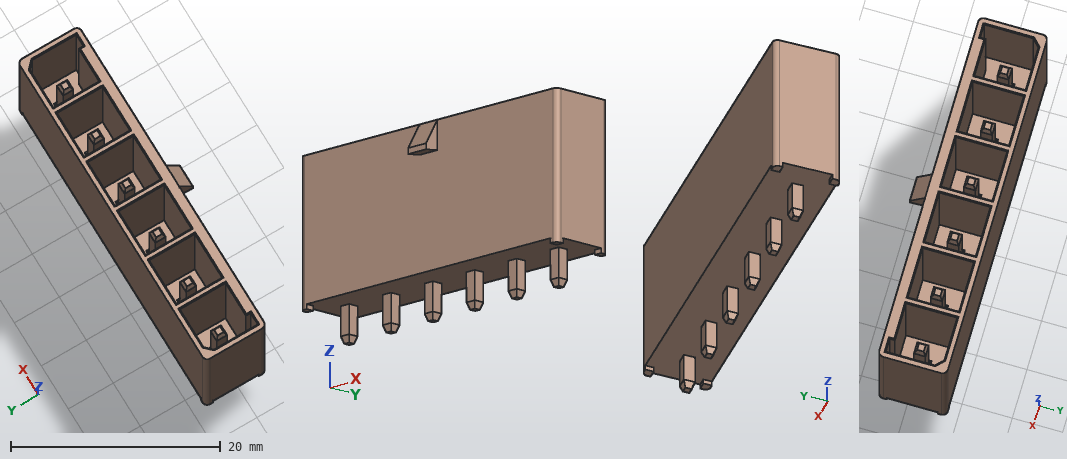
import cadquery as cq

length = 34.85
depth = 6.83
height = 15.25
corner_radius = 0.52

foot_size = 0.87
foot_height = 0.5

contact_count = 6
row_length = 28.5
pitch = row_length / (contact_count - 1)
cavity_depth = 11.85
partition = 0.63
end_wall = 0.6
back_wall = 0.6
front_wall = 1.15
rim_chamfer = 0.1

end_chamfer = 0.73
key_front_wall = 0.63
key_length = 1.32

pin_width = 1.15
tip_width = 0.65
tip_length = 0.73
pin_top = -4.88
pin_bottom = -18.5

countersink_width = 1.57
countersink_depth = (countersink_width - pin_width) / 2

latch_width = 2.45
latch_reach = 1.55
latch_nose_top = -2.65
latch_nose_bottom = -3.25
latch_root_bottom = -3.03

front_face = -depth / 2
cavity_front = front_face + front_wall
cavity_back = depth / 2 - back_wall
cavity_end = length / 2 - end_wall
cavity_floor = -cavity_depth
contact_positions = [i * pitch - row_length / 2 for i in range(contact_count)]


def block(x_range, y_range, z_range):
    """Axis-aligned box given by its limits along X, Y and Z."""
    (x0, x1), (y0, y1), (z0, z1) = x_range, y_range, z_range
    return cq.Workplane("XY").box(x1 - x0, y1 - y0, z1 - z0, centered=False).translate((x0, y0, z0))


def make_shell():
    """Rounded block whose underside is relieved by a cross, leaving four corner feet."""
    shell = (
        cq.Workplane("XY")
        .rect(length, depth)
        .extrude(-height)
        .edges("|Z")
        .fillet(corner_radius)
    )
    for size_x, size_y in ((length - 2 * foot_size, depth), (length, depth - 2 * foot_size)):
        relief = cq.Workplane("XY").workplane(offset=-height).rect(size_x, size_y).extrude(foot_height)
        shell = shell.cut(relief)
    return shell


def make_middle_cavity(x):
    """Plain rectangular cavity around the contact at x."""
    half_width = (pitch - partition) / 2
    return block((x - half_width, x + half_width), (cavity_front, cavity_back), (cavity_floor, 0))


def make_end_cavity(side):
    """Cavity at one end (side is -1 or 1), with a back corner chamfer and a front key notch."""
    inner = contact_positions[-1] - (pitch - partition) / 2
    key_front = front_face + key_front_wall
    key_inner = cavity_end - key_length
    outline = [
        (inner, cavity_front),
        (key_inner, cavity_front),
        (key_inner, key_front),
        (cavity_end, key_front),
        (cavity_end, cavity_back - end_chamfer),
        (cavity_end - end_chamfer, cavity_back),
        (inner, cavity_back),
    ]
    return (
        cq.Workplane("XY")
        .polyline([(side * x, y) for x, y in outline])
        .close()
        .extrude(cavity_floor)
    )


def make_countersink(x):
    """Square funnel in the cavity floor, narrowing to the pin at x."""
    return (
        cq.Workplane("XY", origin=(x, 0, cavity_floor))
        .rect(countersink_width, countersink_width)
        .workplane(offset=-countersink_depth)
        .rect(pin_width, pin_width)
        .loft(ruled=True)
    )


def make_pin_tip(x, z_base, direction):
    """Tapered tip rising (direction 1) or falling (direction -1) from z_base."""
    return (
        cq.Workplane("XY", origin=(x, 0, z_base))
        .rect(pin_width, pin_width)
        .workplane(offset=direction * tip_length)
        .rect(tip_width, tip_width)
        .loft(ruled=True)
    )


def make_pin(x):
    """Square pin at x, tapered at both ends."""
    shank_top = pin_top - tip_length
    shank_bottom = pin_bottom + tip_length
    shank = (
        cq.Workplane("XY", origin=(x, 0, shank_bottom))
        .rect(pin_width, pin_width)
        .extrude(shank_top - shank_bottom)
    )
    return shank.union(make_pin_tip(x, shank_top, 1)).union(make_pin_tip(x, shank_bottom, -1))


def chamfer_cavity_rims(housing):
    """Chamfer the mouth of every cavity, leaving the outer edges of the rim sharp."""
    half_x = length / 2 - end_wall / 2
    half_y = depth / 2 - back_wall / 2
    inside_rim = cq.selectors.BoxSelector((-half_x, -half_y, -rim_chamfer), (half_x, half_y, rim_chamfer))
    return housing.faces(">Z").edges(inside_rim).chamfer(rim_chamfer)


def make_latch():
    """Ramp that starts at the rim and ends in a hooked nose."""
    nose = front_face - latch_reach
    return (
        cq.Workplane("YZ")
        .polyline([
            (front_face, 0),
            (nose, latch_nose_top),
            (nose, latch_nose_bottom),
            (front_face, latch_root_bottom),
        ])
        .close()
        .extrude(latch_width / 2, both=True)
    )


housing = make_shell()
for side in (-1, 1):
    housing = housing.cut(make_end_cavity(side))
for x in contact_positions[1:-1]:
    housing = housing.cut(make_middle_cavity(x))

result = chamfer_cavity_rims(housing).union(make_latch())
for x in contact_positions:
    result = result.cut(make_countersink(x)).union(make_pin(x))